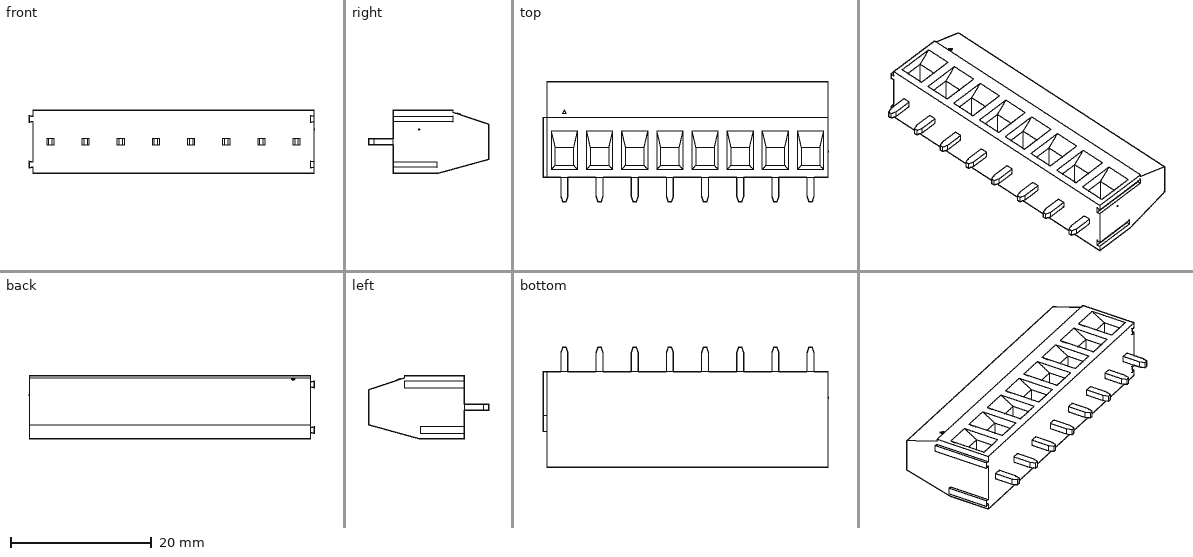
import cadquery as cq


pole_count = 8

overall_length = 40.55
rail_reach = 0.53
housing_length = 40.0
housing_depth = 13.6
back_rounding = 0.15
housing_height = 9.0
back_top = 7.0
back_bottom = 2.0
step_place = 8.5
step_height = 0.32
lower_slope_start = 6.35

pin_width = 1.0
pin_thickness = 0.9
pin_length = 3.5
pin_tip_width = 0.5
pin_tip_length = 0.77
pin_middle = housing_height / 2

socket_width = 3.75
socket_front = 1.1
socket_back = 6.6
funnel_depth = 0.8
throat_width = 2.65
throat_front = 1.7
throat_back = 4.25
throat_depth = 4.85

rail_inset = 0.77
rail_width = 0.97
rail_root_width = 0.75
upper_rail_length = step_place
lower_rail_length = 6.25

marker_width = 0.53
marker_length = 0.53
marker_gap = 0.53
marker_height = 0.1

nub_height = overall_length - rail_reach - housing_length
nub_radius = 0.1
nub_place = 3.7
nub_middle = 6.25

pitch = housing_length / pole_count
first_pole = pitch / 2
pole_places = [first_pole + pole * pitch for pole in range(pole_count)]


def make_housing():
    """Side outline in Y and Z, swept along X, with the upper back edge rounded."""
    upper_back_edge = cq.selectors.NearestToPointSelector((housing_length / 2, housing_depth, back_top))
    return (
        cq.Workplane("YZ")
        .moveTo(0, 0)
        .lineTo(lower_slope_start, 0)
        .lineTo(housing_depth, back_bottom)
        .lineTo(housing_depth, back_top)
        .lineTo(step_place, housing_height - step_height)
        .lineTo(step_place, housing_height)
        .lineTo(0, housing_height)
        .close()
        .extrude(housing_length)
        .edges(upper_back_edge)
        .fillet(back_rounding)
    )


def make_pin(x):
    """Flat pin with both sides tapered at the tip, rooted in the pin face."""
    shoulder = pin_tip_length - pin_length
    return (
        cq.Workplane("XY", origin=(x, 0, pin_middle - pin_thickness / 2))
        .moveTo(-pin_width / 2, 0)
        .lineTo(-pin_width / 2, shoulder)
        .lineTo(-pin_tip_width / 2, -pin_length)
        .lineTo(pin_tip_width / 2, -pin_length)
        .lineTo(pin_width / 2, shoulder)
        .lineTo(pin_width / 2, 0)
        .close()
        .extrude(pin_thickness)
    )


def make_socket(x):
    """Four-sided funnel narrowing into a straight rectangular throat."""
    socket_middle = (socket_front + socket_back) / 2
    throat_middle = (throat_front + throat_back) / 2
    throat_length = throat_back - throat_front
    throat_top = housing_height - funnel_depth
    funnel = (
        cq.Workplane("XY", origin=(x, socket_middle, housing_height))
        .rect(socket_width, socket_back - socket_front)
        .workplane(offset=-funnel_depth)
        .center(0, throat_middle - socket_middle)
        .rect(throat_width, throat_length)
        .loft(ruled=True)
    )
    throat = (
        cq.Workplane("XY", origin=(x, throat_middle, throat_top))
        .rect(throat_width, throat_length)
        .extrude(-throat_depth)
    )
    return funnel.union(throat)


def make_rail(root_x, middle_z, length):
    """Dovetail bar along Y, widening from its root towards -X."""
    tip_x = root_x - rail_reach
    return (
        cq.Workplane("XZ")
        .moveTo(root_x, middle_z - rail_root_width / 2)
        .lineTo(root_x, middle_z + rail_root_width / 2)
        .lineTo(tip_x, middle_z + rail_width / 2)
        .lineTo(tip_x, middle_z - rail_width / 2)
        .close()
        .extrude(-length)
    )


def make_marker(housing):
    """Raised triangle whose top face follows the upper slope."""
    base_y = step_place + marker_gap
    column = (
        cq.Workplane("XY", origin=(first_pole, base_y, pin_middle))
        .moveTo(-marker_width / 2, 0)
        .lineTo(marker_width / 2, 0)
        .lineTo(0, marker_length)
        .close()
        .extrude(housing_height)
    )
    return column.intersect(housing.translate((0, 0, marker_height)))


def make_nub():
    """Round nub standing out of the right end."""
    return (
        cq.Workplane("YZ", origin=(housing_length, nub_place, nub_middle))
        .circle(nub_radius)
        .extrude(nub_height)
    )


housing = make_housing()
result = housing.union(make_marker(housing)).union(make_nub())

for x in pole_places:
    result = result.union(make_pin(x)).cut(make_socket(x))

lower_rail_middle = rail_inset + rail_width / 2
upper_rail_middle = housing_height - lower_rail_middle
rails = (
    (lower_rail_middle, lower_rail_length),
    (upper_rail_middle, upper_rail_length),
)
for middle_z, length in rails:
    result = result.union(make_rail(0, middle_z, length))
    result = result.cut(make_rail(housing_length, middle_z, length))